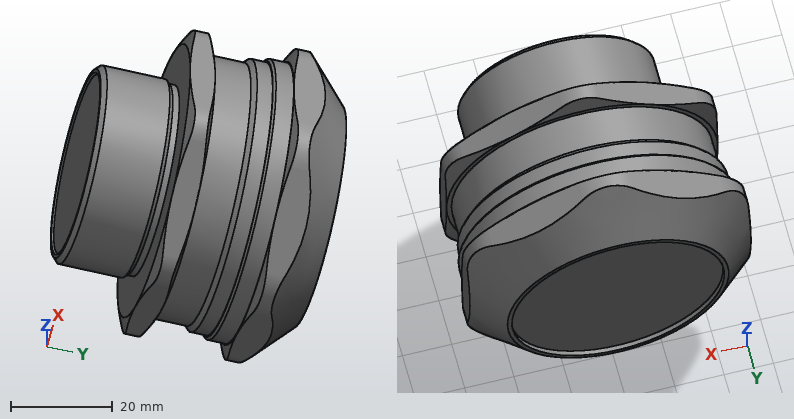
import cadquery as cq
import math

spigot_diameter = 40.0
spigot_chamfer = 1.0
spigot_back = 13.75
undercut_diameter = 38.5
undercut_front = 14.55
tip_recess_mouth_diameter = 36.6
tip_recess_diameter = 35.95
tip_recess_depth = 0.4

hex_flats = 55.0
hex_corner_radius = 7.35
hex_front = 15.85
hex_back = 20.95

body_diameter = 53.0
ring_diameter = hex_flats
ring_front = 28.5
ring_chamfer = (ring_diameter - body_diameter) / 2
collar_diameter = 56.6
collar_front = 32.6
collar_chamfer = 0.5

nut_flats = 57.0
nut_corner_radius = 10.05
nut_front = 36.7
cone_start = 43.1
cap_back = 49.0
cap_back_diameter = 44.9
cap_recess_diameter = 43.1
cap_recess_depth = 1.0

hex_chamfer_angle = 20


def revolve_profile(points):
    """Solid turned about Y from (radius, station) points."""
    return cq.Workplane("XY").polyline(points).close().revolve(360, (0, 0, 0), (0, 1, 0))


def rounded_hexagon(flats, corner_radius, front, back):
    """Hexagonal prism along Y with rounded corners, two of them pointing up and down."""
    corner_distance = flats / math.sqrt(3)
    corners = []
    for index in range(6):
        angle = math.radians(30 + 60 * index)
        corners.append((corner_distance * math.cos(angle), corner_distance * math.sin(angle)))
    prism = cq.Workplane("XZ", origin=(0, front, 0)).polyline(corners).close().extrude(front - back)
    return prism.edges("|Y").fillet(corner_radius)


def chamfer_rise(flats):
    """Axial rise of a chamfer cone from the flats out to the sharp corners."""
    sharp_corner_radius = flats / math.sqrt(3)
    return (sharp_corner_radius - flats / 2) * math.tan(math.radians(hex_chamfer_angle))


def make_front_hexagon():
    rise = chamfer_rise(hex_flats)
    corner_reach = hex_flats / math.sqrt(3)
    envelope = revolve_profile([
        (0, hex_front),
        (hex_flats / 2, hex_front),
        (corner_reach, hex_front + rise),
        (corner_reach, hex_back - rise),
        (hex_flats / 2, hex_back),
        (0, hex_back),
    ])
    return rounded_hexagon(hex_flats, hex_corner_radius, hex_front, hex_back).intersect(envelope)


def make_cap_nut():
    corner_reach = nut_flats / math.sqrt(3)
    cone_slope = (cap_back - cone_start) / (nut_flats - cap_back_diameter) * 2
    cone_edge = cone_start - (corner_reach - nut_flats / 2) * cone_slope
    envelope = revolve_profile([
        (0, nut_front),
        (nut_flats / 2, nut_front),
        (corner_reach, nut_front + chamfer_rise(nut_flats)),
        (corner_reach, cone_edge),
        (cap_back_diameter / 2, cap_back),
        (cap_recess_diameter / 2, cap_back),
        (cap_recess_diameter / 2, cap_back - cap_recess_depth),
        (0, cap_back - cap_recess_depth),
    ])
    return rounded_hexagon(nut_flats, nut_corner_radius, nut_front, cap_back).intersect(envelope)


def make_turned_core():
    """Spigot, undercut, body, ring and collar, running from the front end to the cap nut."""
    spigot_radius = spigot_diameter / 2
    undercut_radius = undercut_diameter / 2
    body_radius = body_diameter / 2
    ring_radius = ring_diameter / 2
    collar_radius = collar_diameter / 2
    return revolve_profile([
        (0, tip_recess_depth),
        (tip_recess_diameter / 2, tip_recess_depth),
        (tip_recess_mouth_diameter / 2, 0),
        (spigot_radius - spigot_chamfer, 0),
        (spigot_radius, spigot_chamfer),
        (spigot_radius, spigot_back),
        (undercut_radius, undercut_front),
        (undercut_radius, hex_front),
        (body_radius, hex_front),
        (body_radius, ring_front),
        (ring_radius, ring_front + ring_chamfer),
        (ring_radius, collar_front),
        (collar_radius - collar_chamfer, collar_front),
        (collar_radius, collar_front + collar_chamfer),
        (collar_radius, nut_front),
        (0, nut_front),
    ])


result = make_turned_core().union(make_front_hexagon()).union(make_cap_nut())